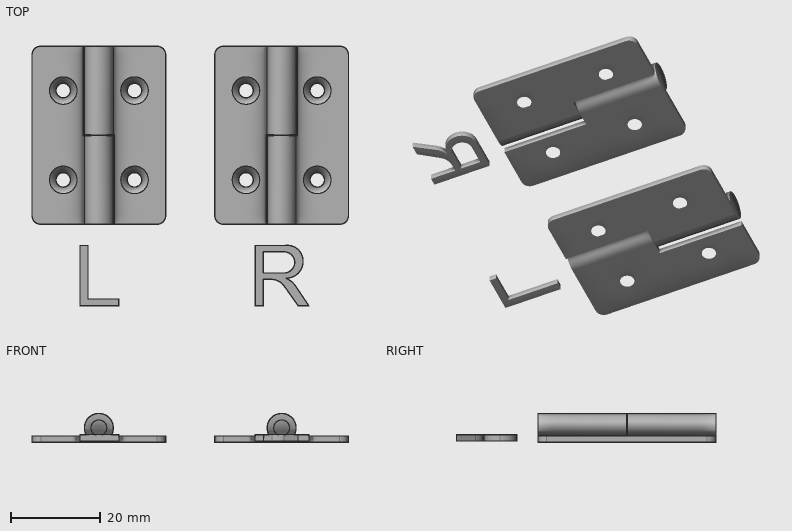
import cadquery as cq


total_width = 71.0
hinge_width = 30.05
hinge_length = 40.0
hinge_spacing = total_width - hinge_width
sheet = 1.5
corner_radius = 2.0

knuckle_diameter = 6.5
knuckle_radius = knuckle_diameter / 2
pin_radius = knuckle_radius - sheet
roll_slit = 0.1
end_gap = 0.15
leaf_clearance = 0.2
knuckle_length = (hinge_length - end_gap) / 2
front_knuckle_start = -hinge_length / 2
rear_knuckle_start = end_gap / 2
neck_width = knuckle_radius + leaf_clearance
leaf_width = hinge_width / 2 - neck_width

hole_diameter = 3.2
countersink_angle = 90.0
countersink_diameter = hole_diameter + 2 * sheet
hole_spacing_x = 16.0
hole_spacing_y = 20.0

letter_height = 13.6
letter_thickness = 1.5
letter_lift = 0.3
letter_distance = 4.7
letter_base_y = -hinge_length / 2 - letter_distance - letter_height
stem_width = 1.85
letter_l_width = 8.7
letter_l_bar = 1.55
letter_l_shift = -4.25
letter_r_shift = -6.0

bowl_top_start = (6.8, letter_height)
bowl_upper_bend = (9.65, 12.65)
bowl_right = (10.8, 9.8)
bowl_lower_bend = (9.65, 7.25)
bowl_end = (6.95, 6.2)
counter_bottom = 7.4
counter_top = 12.1
counter_right = 8.9
counter_flat = 6.5
arm_bottom = 5.9
arm_end = (3.8, arm_bottom)
leg_inner_bend = (5.3, 5.5)
leg_inner_start = (6.5, 4.4)
leg_outer_bend = (8.2, 5.5)
leg_outer_start = (9.2, 4.25)
leg_left = 9.65
leg_right = 12.1


def box(x_start, x_end, y_start, y_length, z_start, height):
    """Block between two X values, from a Y start and a Z start."""
    return (
        cq.Workplane("XY")
        .box(abs(x_end - x_start), y_length, height, centered=False)
        .translate((min(x_start, x_end), y_start, z_start))
    )


def rod(radius, y_start, y_end):
    """Round rod along the pin axis."""
    return cq.Workplane("XZ", origin=(0, y_start, knuckle_radius)).circle(radius).extrude(y_start - y_end)


def leaf_plate(side):
    """Flat leaf on the -X (side = -1) or +X (side = 1) half, with two countersunk holes."""
    outer_edge = "|Z and <X" if side < 0 else "|Z and >X"
    hole_places = [(side * hole_spacing_x / 2, end * hole_spacing_y / 2) for end in (-1, 1)]
    return (
        box(side * neck_width, side * (neck_width + leaf_width), -hinge_length / 2, hinge_length, 0, sheet)
        .edges(outer_edge)
        .fillet(corner_radius)
        .faces(">Z")
        .workplane(origin=(0, 0, sheet))
        .pushPoints(hole_places)
        .cskHole(hole_diameter, countersink_diameter, countersink_angle)
    )


def leaf_with_eye(side, knuckle_start):
    """Leaf whose neck runs to the pin axis and rolls up into a bored knuckle."""
    knuckle_end = knuckle_start + knuckle_length
    slit = box(0, side * knuckle_radius, knuckle_start, knuckle_length, sheet, roll_slit)
    neck = box(0, side * neck_width, knuckle_start, knuckle_length, 0, sheet)
    bore = rod(pin_radius, knuckle_start, knuckle_end)
    eye = rod(knuckle_radius, knuckle_start, knuckle_end).cut(slit)
    return leaf_plate(side).union(neck).union(eye).cut(bore)


def socket_leaf():
    """Left leaf, whose front knuckle turns on the pin."""
    return leaf_with_eye(-1, front_knuckle_start)


def pin_leaf():
    """Right leaf, whose rear knuckle holds the fixed pin that fills the front knuckle too."""
    pin = rod(pin_radius, front_knuckle_start, hinge_length / 2)
    return leaf_with_eye(1, rear_knuckle_start).union(pin)


def letter_l():
    """Letter L with its lower left corner at the origin."""
    stem = box(0, stem_width, 0, letter_height, 0, letter_thickness)
    bar = box(0, letter_l_width, 0, letter_l_bar, 0, letter_thickness)
    return stem.union(bar)


def letter_r():
    """Letter R with its lower left corner at the origin."""
    outline = (
        cq.Workplane("XY")
        .lineTo(stem_width, 0)
        .lineTo(stem_width, arm_bottom)
        .lineTo(*arm_end)
        .threePointArc(leg_inner_bend, leg_inner_start)
        .lineTo(leg_left, 0)
        .lineTo(leg_right, 0)
        .lineTo(*leg_outer_start)
        .threePointArc(leg_outer_bend, bowl_end)
        .threePointArc(bowl_lower_bend, bowl_right)
        .threePointArc(bowl_upper_bend, bowl_top_start)
        .lineTo(0, letter_height)
        .close()
        .extrude(letter_thickness)
    )
    counter = (
        cq.Workplane("XY")
        .moveTo(stem_width, counter_bottom)
        .lineTo(counter_flat, counter_bottom)
        .threePointArc((counter_right, (counter_bottom + counter_top) / 2), (counter_flat, counter_top))
        .lineTo(stem_width, counter_top)
        .close()
        .extrude(letter_thickness)
    )
    return outline.cut(counter)


left_hinge_x = -hinge_spacing / 2
right_hinge_x = hinge_spacing / 2

bodies = []
for leaf in (socket_leaf(), pin_leaf()):
    bodies.append(leaf.translate((left_hinge_x, 0, 0)).solids().val())
    bodies.append(leaf.mirror("YZ").translate((right_hinge_x, 0, 0)).solids().val())

for letter, letter_x in (
    (letter_l(), left_hinge_x + letter_l_shift),
    (letter_r(), right_hinge_x + letter_r_shift),
):
    bodies.append(letter.translate((letter_x, letter_base_y, letter_lift)).solids().val())

result = cq.Compound.makeCompound(bodies)